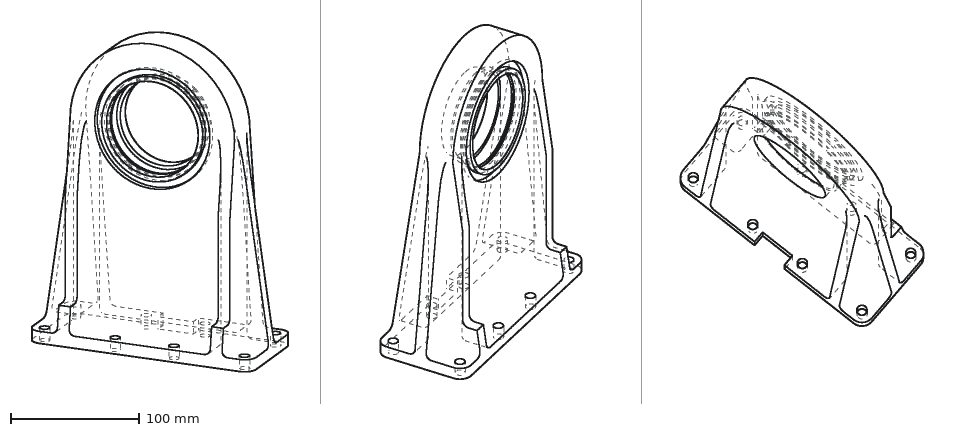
import cadquery as cq

base_length = 190
base_width = 80
base_height = 10
base_corner_radius = 10
bolt_hole_diameter = 8.0
bolt_x_positions = (-85, -25, 25, 85)
bolt_y_positions = (-30, 30)
notch_length = 30
notch_depth = 10

total_height = 250
head_radius = 70
bore_height = total_height - head_radius
wall_thickness = 30
stiffener_thickness = 10
rib_inner_x = head_radius - stiffener_thickness
fillet_radius = 5

relief_y = -24.0
relief_floor_height = 32.5

bore_diameter = 72.0
counterbore_diameter = 78.0
counterbore_depth = 20
ring_groove_diameter = 83.0
ring_groove_start = 7.5
ring_groove_width = 2.5
face_groove_inner_diameter = 86.0
face_groove_outer_diameter = 98.0
face_groove_depth = 5


def make_base():
    base = cq.Workplane("XY").box(
        base_length, base_width, base_height, centered=(True, True, False)
    )
    base = base.edges("|Z").fillet(base_corner_radius)
    notch = cq.Workplane("XY").box(
        notch_length, 2 * notch_depth, base_height, centered=(True, True, False)
    )
    base = base.cut(notch.translate((0, base_width / 2, 0)))
    bolt_points = [(x, y) for x in bolt_x_positions for y in bolt_y_positions]
    return (
        base.faces("<Z").workplane(origin=(0, 0, 0))
        .pushPoints(bolt_points).hole(bolt_hole_diameter)
    )


def make_front_profile():
    """Tapered sides rising into the round head, extruded across the width."""
    return (
        cq.Workplane("XZ")
        .moveTo(-base_length / 2, base_height)
        .lineTo(base_length / 2, base_height)
        .lineTo(head_radius, bore_height)
        .threePointArc((0, total_height), (-head_radius, bore_height))
        .close()
        .extrude(base_width / 2, both=True)
    )


def make_side_profile():
    """Taper from the base width to the wall, relieved at the front, extruded along X."""
    half_width = base_width / 2
    half_wall = wall_thickness / 2
    taper = (half_width - half_wall) / (bore_height - base_height)
    ledge_y = -half_wall - taper * (bore_height - relief_floor_height)
    relief_top_height = bore_height - (-relief_y - half_wall) / taper
    profile = (
        cq.Workplane("YZ")
        .moveTo(half_width, base_height)
        .lineTo(half_wall, bore_height)
        .lineTo(half_wall, total_height)
        .lineTo(-half_wall, total_height)
        .lineTo(-half_wall, bore_height)
        .lineTo(relief_y, relief_top_height)
        .lineTo(relief_y, relief_floor_height + fillet_radius)
        .radiusArc((relief_y - fillet_radius, relief_floor_height), fillet_radius)
        .lineTo(ledge_y, relief_floor_height)
        .lineTo(-half_width, base_height)
        .close()
    )
    return profile.extrude(base_length / 2, both=True)


def make_pocket(x_start, x_end, y_start):
    """Open recess on the +Y side with rounded vertical corners and floor edges."""
    pocket = cq.Workplane("XY").box(
        x_end - x_start, base_width, total_height, centered=False
    )
    pocket = pocket.edges("|Z or <Z").fillet(fillet_radius)
    return pocket.translate((x_start, y_start, base_height))


def make_upright():
    upright = make_front_profile().intersect(make_side_profile())
    middle_pocket = make_pocket(-rib_inner_x, rib_inner_x, wall_thickness / 2)
    corner_pocket = make_pocket(head_radius, base_length, stiffener_thickness / 2)
    pockets = (middle_pocket, corner_pocket, corner_pocket.mirror("YZ"))
    for pocket in pockets:
        upright = upright.cut(pocket).cut(pocket.mirror("XZ"))
    return upright


def make_bore_disc(diameter, start_depth, end_depth):
    """Disc on the bore axis between two depths behind the front face."""
    start_y = start_depth - wall_thickness / 2
    plane = cq.Workplane("XZ", origin=(0, start_y, bore_height))
    return plane.circle(diameter / 2).extrude(start_depth - end_depth)


def make_bore():
    bore = make_bore_disc(bore_diameter, 0, wall_thickness)
    counterbore = make_bore_disc(counterbore_diameter, 0, counterbore_depth)
    ring_groove = make_bore_disc(
        ring_groove_diameter, ring_groove_start, ring_groove_start + ring_groove_width
    )
    return bore.union(counterbore).union(ring_groove)


def make_face_groove():
    outer = make_bore_disc(face_groove_outer_diameter, 0, face_groove_depth)
    return outer.cut(make_bore_disc(face_groove_inner_diameter, 0, face_groove_depth))


result = make_base().union(make_upright()).cut(make_bore()).cut(make_face_groove())